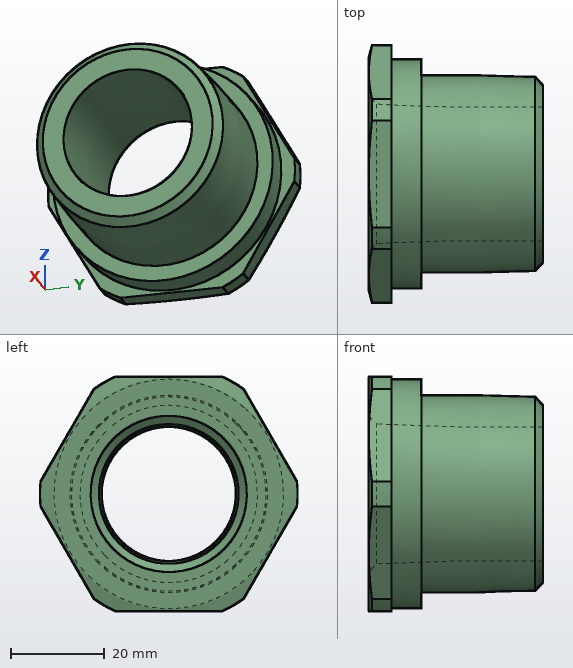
import cadquery as cq
import math

across_flats = 50.0
across_corners = 54.95
head_length = 4.95
head_face_radius = 24.7
head_bevel_angle = 15.0

collar_radius = 24.45
collar_end = 11.25
barrel_radius = 21.05
barrel_end = 23.65
nose_radius = 20.7
nose_end = 35.5
tip_radius = 18.9
total_length = 37.2

mouth_radius = 16.65
bore_entry_radius = 14.9
bore_exit_radius = 14.3
bore_taper_end = 19.0
countersink_depth = mouth_radius - bore_entry_radius


def revolve_about_x(profile):
    """Revolve a closed list of (x, radius) points about the X axis."""
    return cq.Workplane("XZ").polyline(profile).close().revolve(360, (0, 0, 0), (1, 0, 0))


def make_head():
    """Hexagon with flats facing Z, rounded corners and a beveled front rim."""
    hexagon_diameter = across_flats / math.cos(math.pi / 6)
    hexagon = cq.Workplane("YZ").polygon(6, hexagon_diameter).extrude(head_length)
    corner_trim = cq.Workplane("YZ").circle(across_corners / 2).extrude(head_length)
    rim_radius = hexagon_diameter / 2
    bevel_depth = (rim_radius - head_face_radius) * math.tan(math.radians(head_bevel_angle))
    bevel_envelope = revolve_about_x([
        (0, 0),
        (0, head_face_radius),
        (bevel_depth, rim_radius),
        (head_length, rim_radius),
        (head_length, 0),
    ])
    return hexagon.intersect(corner_trim).intersect(bevel_envelope)


def make_body():
    """Collar, straight barrel, tapered nose and chamfered tip."""
    return revolve_about_x([
        (0, 0),
        (0, collar_radius),
        (collar_end, collar_radius),
        (collar_end, barrel_radius),
        (barrel_end, barrel_radius),
        (nose_end, nose_radius),
        (total_length, tip_radius),
        (total_length, 0),
    ])


def make_bore():
    """Countersunk mouth then a slight taper, then a straight bore to the tip."""
    return revolve_about_x([
        (0, 0),
        (0, mouth_radius),
        (countersink_depth, bore_entry_radius),
        (bore_taper_end, bore_exit_radius),
        (total_length, bore_exit_radius),
        (total_length, 0),
    ])


result = make_head().union(make_body()).cut(make_bore())